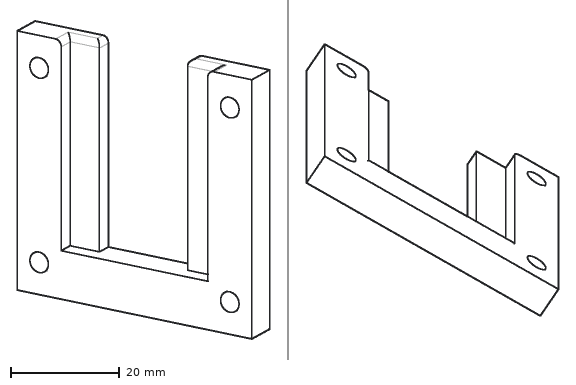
import cadquery as cq

side = 50.8
thickness = 6.35

frame_width = 9.525
ledge_width = 6.35
recess_depth = thickness / 2
recess_width = side - 2 * frame_width
slot_width = recess_width - 2 * ledge_width

lead_in_radius = 1.27

hole_diameter = 4.0
hole_side_inset = 4.7625
hole_end_inset = 6.35
hole_spacing_x = side - 2 * hole_side_inset
hole_spacing_z = side - 2 * hole_end_inset


def plate():
    return cq.Workplane("XY").box(side, thickness, side, centered=(True, False, False))


def opening(width, depth):
    """Cutter from the front face back to depth, open at the top of the plate."""
    height = side - frame_width
    return (
        cq.Workplane("XY")
        .box(width, depth, height, centered=(True, False, False))
        .translate((0, 0, frame_width))
    )


def round_lead_in(body):
    """Round the top edges where the arms meet the recess, its ledges and the slot."""
    half_recess = recess_width / 2
    margin = lead_in_radius / 2
    inner_edges = cq.selectors.BoxSelector(
        (-half_recess - margin, -margin, side - margin),
        (half_recess + margin, thickness - margin, side + margin),
    )
    return body.edges(inner_edges).fillet(lead_in_radius)


def mounting_holes():
    return (
        cq.Workplane("XZ", origin=(0, 0, side / 2))
        .rarray(hole_spacing_x, hole_spacing_z, 2, 2)
        .circle(hole_diameter / 2)
        .extrude(-thickness)
    )


frame = plate().cut(opening(recess_width, recess_depth)).cut(opening(slot_width, thickness))
result = round_lead_in(frame).cut(mounting_holes())